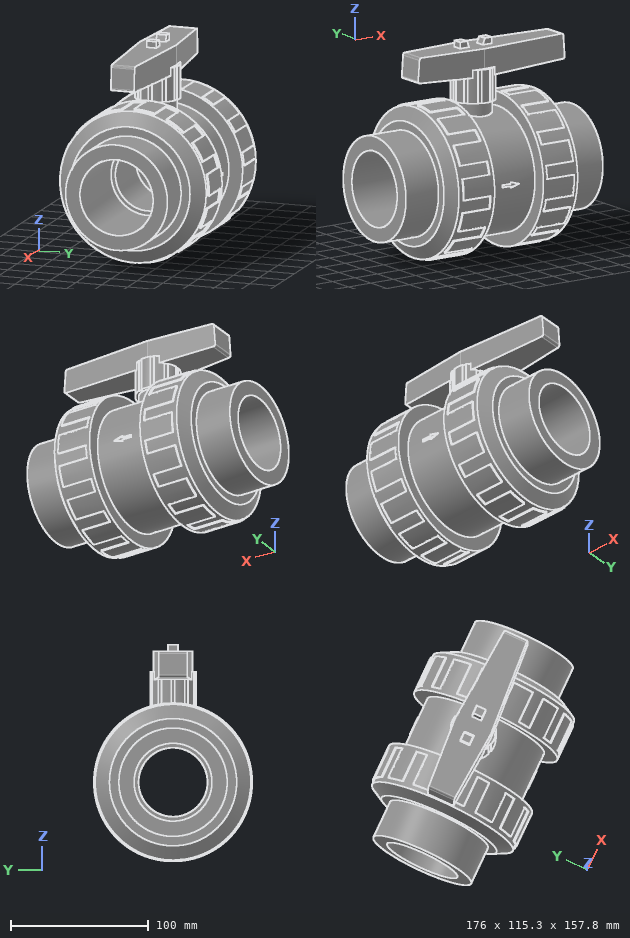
import cadquery as cq

overall_length = 176.0
bore_radius = 25.0
socket_radius = 28.3
pipe_radius = 39.5
body_radius = 47.0

nut_inner_x = 21.8
nut_outer_x = 59.0
socket_depth = overall_length / 2 - nut_inner_x
nut_cone_x = 53.0
nut_face_radius = 46.3
nut_rim_radius = 56.7
nut_grip_diameter = 115.3
nut_grip_radius = nut_grip_diameter / 2
grip_outer_x = 49.3
grip_groove_inner_x = 25.2
grip_count = 14
grip_groove_width = 9.9
grip_start_angle = 7.65

stem_radius = 14.0
hub_radius = 16.7
hub_bottom_z = 55.5
hub_top_z = 80.5
spline_count = 10
spline_width = 2.8
spline_depth = 0.5

handle_left_x = -56.5
handle_right_x = 75.7
handle_top_z = 95.4
handle_center_z = 74.3
handle_end_z = 76.4
handle_end_draft = 1.4
handle_half_width = 14.3
handle_side_slope = 0.07
handle_edge_radius = 1.8

lug_top_z = 100.1
lug_outer_x = 14.0
lug_top_inner_x = 8.0
lug_base_inner_x = 6.2
lug_width = 7.4

arrow_half_length = 7.2
arrow_shaft_width = 1.8
arrow_head_width = 4.2
arrow_height = 0.5


def x_cylinder(radius, start_x, end_x):
    """Cylinder along the flow axis."""
    return cq.Workplane("YZ", origin=(start_x, 0, 0)).circle(radius).extrude(end_x - start_x)


def z_cylinder(radius, start_z, end_z):
    """Cylinder along the stem axis."""
    return cq.Workplane("XY", origin=(0, 0, start_z)).circle(radius).extrude(end_z - start_z)


def make_nut():
    """Union nut on the -X side with evenly spaced grip grooves."""
    profile = [
        (-nut_inner_x, 0),
        (-nut_inner_x, nut_grip_radius),
        (-grip_outer_x, nut_grip_radius),
        (-grip_outer_x, nut_rim_radius),
        (-nut_cone_x, nut_rim_radius),
        (-nut_outer_x, nut_face_radius),
        (-nut_outer_x, 0),
    ]
    nut = cq.Workplane("XY").polyline(profile).close().revolve(360, (0, 0, 0), (1, 0, 0))

    groove_length = grip_outer_x - grip_groove_inner_x
    groove_middle_x = -(grip_outer_x + grip_groove_inner_x) / 2
    ring = x_cylinder(2 * nut_grip_radius, -grip_outer_x, -grip_groove_inner_x)
    ring = ring.cut(x_cylinder(nut_rim_radius, -grip_outer_x, -grip_groove_inner_x))
    blade = cq.Workplane("XY").box(groove_length, nut_grip_radius, grip_groove_width)
    blade = blade.translate((groove_middle_x, -nut_grip_radius, 0))
    groove = blade.intersect(ring)
    for index in range(grip_count):
        angle = grip_start_angle + index * 360 / grip_count
        nut = nut.cut(groove.rotate((0, 0, 0), (1, 0, 0), angle))
    return nut


def make_hub():
    """Hub under the handle with spline grooves along its side."""
    hub = z_cylinder(hub_radius, hub_bottom_z, hub_top_z)
    groove = cq.Workplane("XY", origin=(hub_radius, 0, hub_bottom_z))
    groove = groove.rect(2 * spline_depth, spline_width).extrude(hub_top_z - hub_bottom_z)
    for index in range(spline_count):
        hub = hub.cut(groove.rotate((0, 0, 0), (0, 0, 1), index * 360 / spline_count))
    return hub


def make_handle():
    """Handle bar, widest and deepest over the stem, with rounded end edges."""
    side_profile = [
        (handle_left_x, handle_end_z),
        (0, handle_center_z),
        (handle_right_x, handle_end_z),
        (handle_right_x - handle_end_draft, handle_top_z),
        (handle_left_x + handle_end_draft, handle_top_z),
    ]
    bar = cq.Workplane("XZ").polyline(side_profile).close().extrude(handle_half_width, both=True)
    end_edges = bar.edges("|Y").filter(lambda edge: abs(edge.Center().x) > handle_half_width)
    bar = end_edges.fillet(handle_edge_radius)

    left_half_width = handle_half_width + handle_side_slope * handle_left_x
    right_half_width = handle_half_width - handle_side_slope * handle_right_x
    plan = [
        (handle_left_x, left_half_width),
        (0, handle_half_width),
        (handle_right_x, right_half_width),
        (handle_right_x, -right_half_width),
        (0, -handle_half_width),
        (handle_left_x, -left_half_width),
    ]
    return bar.intersect(cq.Workplane("XY").polyline(plan).close().extrude(handle_top_z))


def make_lug():
    """Lug on the +X side of the stem axis, sloped on its inner face."""
    profile = [
        (lug_base_inner_x, handle_top_z),
        (lug_outer_x, handle_top_z),
        (lug_outer_x, lug_top_z),
        (lug_top_inner_x, lug_top_z),
    ]
    return cq.Workplane("XZ").polyline(profile).close().extrude(lug_width / 2, both=True)


def make_arrows():
    """Raised flow arrows on the -Y and +Y sides of the body, pointing to +X."""
    outline = [
        (-arrow_half_length, -arrow_shaft_width / 2),
        (0, -arrow_shaft_width / 2),
        (0, -arrow_head_width / 2),
        (arrow_half_length, 0),
        (0, arrow_head_width / 2),
        (0, arrow_shaft_width / 2),
        (-arrow_half_length, arrow_shaft_width / 2),
    ]
    reach = body_radius + arrow_height
    bar = cq.Workplane("XZ").polyline(outline).close().extrude(reach, both=True)
    return bar.intersect(x_cylinder(reach, -arrow_half_length, arrow_half_length))


end_x = overall_length / 2
nut = make_nut()
lug = make_lug()

result = x_cylinder(pipe_radius, -end_x, end_x)
result = result.union(x_cylinder(body_radius, -nut_inner_x, nut_inner_x))
result = result.union(make_arrows())
result = result.union(nut)
result = result.union(nut.rotate((0, 0, 0), (0, 1, 0), 180))
result = result.union(z_cylinder(stem_radius, pipe_radius, hub_bottom_z))
result = result.union(make_hub())
result = result.union(make_handle())
result = result.union(lug)
result = result.union(lug.mirror("YZ"))

result = result.cut(x_cylinder(bore_radius, -end_x, end_x))
result = result.cut(x_cylinder(socket_radius, -end_x, socket_depth - end_x))
result = result.cut(x_cylinder(socket_radius, end_x - socket_depth, end_x))